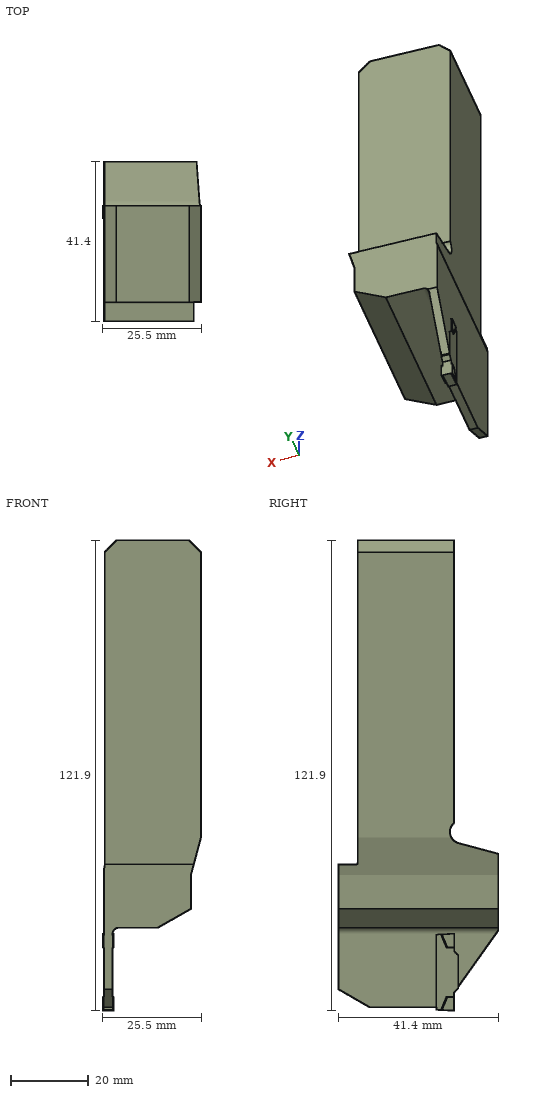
import cadquery as cq
import math


shank = 25.0
top_z = 121.9
top_chamfer = 3.1

head_front_y = -5.0
head_back_y = 36.4
head_proud = 0.2
head_step_top_z = 37.6
head_step_bottom_z = 36.7
head_bottom_z = 21.5
head_right_x = 22.4
taper_top_z = 44.9
taper_angle = 15.0
bevel_left_x = 13.8
bevel_top_z = 26.4

ledge_z = 37.9
ledge_fillet = 0.5

relief_radius = 3.0
relief_depth = 1.1
relief_center_z = 46.35
shoulder_angle = 15.0

blade_thickness = 2.3
blade_fillet = 1.6
blade_bottom_z = 0.9
blade_rear_top_z = 20.8
blade_rear_bottom_z = 6.3
blade_chamfer_width = 8.1
blade_chamfer_angle = 30.0

insert_width = 2.9
insert_front_y = 20.4
insert_tip_y = 25.0
insert_back_y = 26.1
insert_top_z = 20.0
insert_waist_bottom_z = 5.9
insert_waist_top_z = 14.3
insert_lip_rise = 1.1
insert_end_relief = 0.25
tip_length = 3.7
tip_base_y = 21.6
tip_shoulder_y = 23.0
tip_ramp = 0.2

blade_left_x = -head_proud
blade_right_x = blade_left_x + blade_thickness
head_middle_y = (head_front_y + head_back_y) / 2
blade_middle_x = (blade_left_x + blade_right_x) / 2


def tan(angle):
    return math.tan(math.radians(angle))


def extrude_x(points, x_min, x_max):
    """Prism along X from a closed (Y, Z) outline."""
    return cq.Workplane("YZ", origin=(x_min, 0, 0)).polyline(points).close().extrude(x_max - x_min)


def make_insert_core():
    outline = [
        (insert_front_y, insert_end_relief),
        (insert_tip_y, 0),
        (insert_tip_y, insert_waist_bottom_z - insert_lip_rise),
        (insert_back_y, insert_waist_bottom_z),
        (insert_back_y, insert_waist_top_z),
        (insert_tip_y, insert_waist_top_z + insert_lip_rise),
        (insert_tip_y, insert_top_z),
        (insert_front_y, insert_top_z - insert_end_relief),
    ]
    return extrude_x(outline, blade_left_x, blade_right_x)


def make_tip_side(end_z, inward, face_x, outer_x):
    """Raised pad on one blade face; inward is the Z direction towards the middle of the insert."""

    def outline(ramp):
        return [
            (insert_tip_y, end_z),
            (insert_tip_y, end_z + inward * (tip_length - ramp)),
            (tip_shoulder_y + ramp, end_z + inward * (tip_length - ramp)),
            (tip_base_y + ramp, end_z + inward * insert_end_relief),
        ]

    return (
        cq.Workplane("YZ", origin=(face_x, 0, 0))
        .polyline(outline(0))
        .close()
        .workplane(offset=outer_x - face_x)
        .polyline(outline(tip_ramp))
        .close()
        .loft(ruled=True)
    )


def make_insert():
    insert = make_insert_core()
    half_width = insert_width / 2
    for end_z, inward in [(0, 1), (insert_top_z, -1)]:
        insert = insert.union(make_tip_side(end_z, inward, blade_left_x, blade_middle_x - half_width))
        insert = insert.union(make_tip_side(end_z, inward, blade_right_x, blade_middle_x + half_width))
    return insert


def make_holder():
    taper_bottom_z = taper_top_z - (shank - head_right_x) / tan(taper_angle)
    front_outline = [
        (0, top_z - top_chamfer),
        (top_chamfer, top_z),
        (shank - top_chamfer, top_z),
        (shank, top_z - top_chamfer),
        (shank, taper_top_z),
        (head_right_x, taper_bottom_z),
        (head_right_x, bevel_top_z),
        (bevel_left_x, head_bottom_z),
        (blade_right_x, head_bottom_z),
        (blade_right_x, blade_bottom_z),
        (blade_left_x, blade_bottom_z),
        (blade_left_x, head_step_bottom_z),
    ]
    step_height = head_step_top_z - head_step_bottom_z
    step_radius = (step_height**2 + head_proud**2) / (2 * head_proud)
    front_prism = (
        cq.Workplane("XZ", origin=(0, head_back_y, 0))
        .moveTo(0, head_step_top_z)
        .polyline(front_outline, includeCurrent=True)
        .radiusArc((0, head_step_top_z), -step_radius)
        .close()
        .extrude(head_back_y - head_front_y)
        .edges(cq.selectors.NearestToPointSelector((blade_right_x, head_middle_y, head_bottom_z)))
        .fillet(blade_fillet)
    )

    relief_center_y = shank - relief_depth + relief_radius
    relief_top_z = relief_center_z + math.sqrt(relief_radius**2 - (relief_center_y - shank) ** 2)
    shoulder = math.radians(shoulder_angle)
    relief_end_y = relief_center_y - relief_radius * math.sin(shoulder)
    relief_end_z = relief_center_z - relief_radius * math.cos(shoulder)
    shoulder_end_z = relief_end_z - (head_back_y - relief_end_y) * tan(shoulder_angle)
    chamfer_height = blade_chamfer_width * tan(blade_chamfer_angle)
    side_prism = (
        cq.Workplane("YZ", origin=(-head_proud, 0, 0))
        .moveTo(0, top_z)
        .lineTo(shank, top_z)
        .lineTo(shank, relief_top_z)
        .threePointArc((shank - relief_depth, relief_center_z), (relief_end_y, relief_end_z))
        .lineTo(head_back_y, shoulder_end_z)
        .lineTo(head_back_y, blade_rear_top_z)
        .lineTo(insert_back_y, blade_rear_bottom_z)
        .lineTo(insert_front_y, blade_bottom_z)
        .lineTo(head_front_y + blade_chamfer_width, blade_bottom_z)
        .lineTo(head_front_y, blade_bottom_z + chamfer_height)
        .lineTo(head_front_y, ledge_z)
        .lineTo(-ledge_fillet, ledge_z)
        .radiusArc((0, ledge_z + ledge_fillet), -ledge_fillet)
        .close()
        .extrude(shank + head_proud)
    )
    return front_prism.intersect(side_prism)


insert = make_insert()
holder = make_holder().cut(insert)

result = cq.Compound.makeCompound([holder.val(), insert.val()])